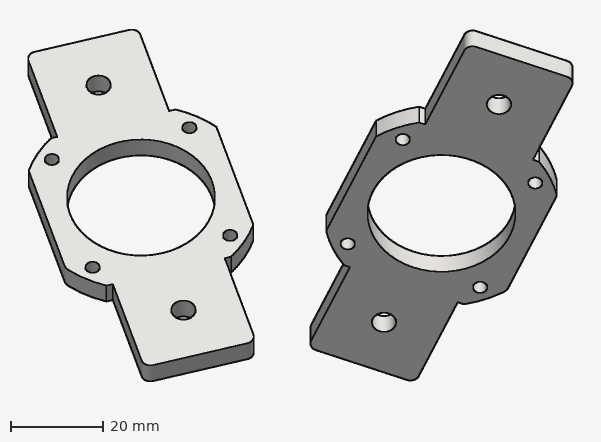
import cadquery as cq

length = 90.2
thickness = 5.6

body_width = 42.4
body_corner_diameter = 50.9
blended_corner_radius = 2.7
bore_diameter = 32.0

tab_width = 25.3
tab_corner_radius = 2.0

tab_hole_diameter = 5.2
tab_hole_spacing = 64.8
body_hole_diameter = 3.1
body_hole_spacing = 31.0


def make_tabs():
    """One bar along X that forms both tabs, with rounded vertical edges."""
    bar = cq.Workplane("XY").rect(length, tab_width).extrude(thickness)
    return bar.edges("|Z").fillet(tab_corner_radius)


def make_body():
    """Square centre block with round corners that share the bore's axis, one corner softened."""
    square = cq.Workplane("XY").rect(body_width, body_width).extrude(thickness)
    disc = cq.Workplane("XY").circle(body_corner_diameter / 2).extrude(thickness)
    body = square.intersect(disc)
    return body.edges("|Z").edges("<Y").edges(">X").fillet(blended_corner_radius)


def through_holes(points, diameter):
    """Cutting cylinders through the full thickness at the given points."""
    return cq.Workplane("XY").pushPoints(points).circle(diameter / 2).extrude(thickness)


tab_hole_points = [(side * tab_hole_spacing / 2, 0) for side in (-1, 1)]
body_hole_points = [
    (x_side * body_hole_spacing / 2, y_side * body_hole_spacing / 2)
    for x_side in (-1, 1)
    for y_side in (-1, 1)
]

result = (
    make_tabs()
    .union(make_body())
    .cut(through_holes([(0, 0)], bore_diameter))
    .cut(through_holes(tab_hole_points, tab_hole_diameter))
    .cut(through_holes(body_hole_points, body_hole_diameter))
)